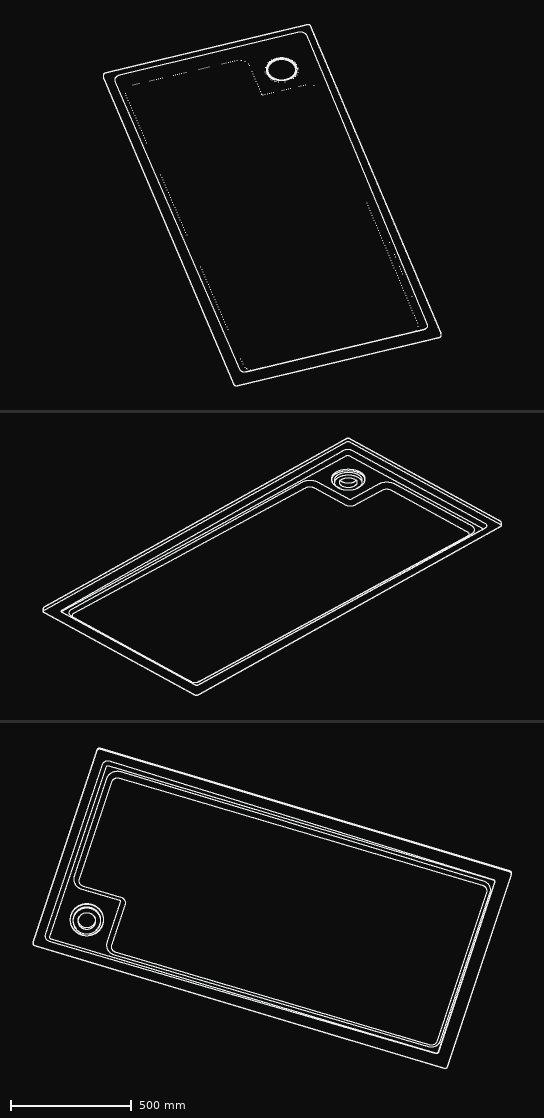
import cadquery as cq
import math


rim_length = 1800.33
rim_width = 900.66
rim_thickness = 22.0
rim_corner_radius = 11.0
rim_edge_radius = 9.0
tray_height = 60.0

drain_inset = 180.0
drain_x = -rim_length / 2 + drain_inset
drain_y = rim_width / 2 - drain_inset
floor_length = 1688.0
floor_width = 792.0
floor_centre_x = -0.5
floor_depth = 26.5
floor_fall_x = 0.009
floor_fall_y = 0.002
floor_corner_radius = 8.0
floor_edge_radius = 20.0
wall_draft = 32.0
shell_thickness = 5.0
underside_draft = 45.0

pad_x_min = -805.0
pad_x_max = 824.0
pad_half_width = 365.0
pad_depth_right = 38.0
pad_notch_x = -590.0
pad_notch_y = 130.0
pad_corner_radius = 25.0
pad_draft = 45.0

recess_diameter = 126.0
seat_depth = 38.5
sump_flange_diameter = 138.0
sump_flange_thickness = 8.0
collar_diameter = 114.0
drain_hole_diameter = 72.61
cover_diameter = 116.0
cover_rim_height = 4.0
cover_crown = 5.0


def floor_plane(drop=0.0):
    """Plane of the floor, or a parallel plane the given distance below it."""
    normal = cq.Vector(-floor_fall_x, floor_fall_y, 1).normalized()
    origin = cq.Vector(floor_centre_x, 0, -floor_depth) - normal * drop
    return cq.Plane(origin=origin, xDir=(1, 0, floor_fall_x), normal=normal)


def bowl(drop, draft, rise):
    """Rounded rectangle on the floor plane, widening as it rises."""
    outline = cq.Sketch().rect(floor_length, floor_width).vertices().fillet(floor_corner_radius)
    return cq.Workplane(floor_plane(drop)).placeSketch(outline).extrude(rise, taper=-draft)


def drain_cylinder(diameter, bottom, height):
    """Upright cylinder on the drain axis."""
    base = cq.Workplane("XY", origin=(drain_x, drain_y, bottom))
    return base.circle(diameter / 2).extrude(height)


def make_rim():
    plate = cq.Workplane("XY").rect(rim_length, rim_width).extrude(-rim_thickness)
    plate = plate.edges("|Z").fillet(rim_corner_radius)
    return plate.faces(">Z").edges().fillet(rim_edge_radius)


def make_pad():
    """Pad whose sloping bottom is deepest at the drain end; its flanks flare upwards."""
    slope = (tray_height - pad_depth_right) / (pad_x_max - pad_x_min)
    plane = cq.Plane(origin=(pad_x_min, 0, -tray_height), xDir=(1, 0, slope), normal=(-slope, 0, 1))
    stretch = math.hypot(1, slope)
    length = (pad_x_max - pad_x_min) * stretch
    notch = (pad_notch_x - pad_x_min) * stretch
    outline = [
        (0, -pad_half_width),
        (length, -pad_half_width),
        (length, pad_half_width),
        (notch, pad_half_width),
        (notch, pad_notch_y),
        (0, pad_notch_y),
    ]
    sketch = cq.Sketch().polygon(outline + outline[:1]).vertices().fillet(pad_corner_radius)
    rise = pad_depth_right - rim_thickness / 2
    return cq.Workplane(plane).placeSketch(sketch).extrude(rise, taper=-pad_draft)


def make_sump():
    flange_bottom = -seat_depth - sump_flange_thickness
    flange = drain_cylinder(sump_flange_diameter, flange_bottom, -floor_depth - flange_bottom)
    collar = drain_cylinder(collar_diameter, -tray_height, tray_height - seat_depth)
    return flange.union(collar)


def make_tray():
    shell = bowl(shell_thickness, underside_draft, rim_thickness)
    below_rim_top = cq.Workplane("XY").box(rim_length, rim_width, tray_height)
    below_rim_top = below_rim_top.translate((0, 0, -(tray_height + rim_thickness) / 2))
    underside = shell.union(make_pad()).union(make_sump()).intersect(below_rim_top)
    cavity = bowl(0, wall_draft, tray_height).faces("<Z").edges().fillet(floor_edge_radius)
    tray = make_rim().union(underside).cut(cavity)
    tray = tray.cut(drain_cylinder(recess_diameter, -seat_depth, seat_depth))
    return tray.cut(drain_cylinder(drain_hole_diameter, -tray_height, tray_height))


def make_cover():
    """Disc resting on the drain seat, with a shallow spherical crown."""
    radius = cover_diameter / 2
    crown_radius = (radius**2 + cover_crown**2) / (2 * cover_crown)
    mid_x = radius / 2
    mid_drop = crown_radius - math.sqrt(crown_radius**2 - mid_x**2)
    top = cover_rim_height + cover_crown
    profile = (
        cq.Workplane("XZ", origin=(drain_x, drain_y, -seat_depth))
        .lineTo(radius, 0)
        .lineTo(radius, cover_rim_height)
        .threePointArc((mid_x, top - mid_drop), (0, top))
        .close()
    )
    return profile.revolve(360, (0, 0, 0), (0, 1, 0))


tray = make_tray()
cover = make_cover()
result = cq.Compound.makeCompound([tray.solids().val(), cover.val()])